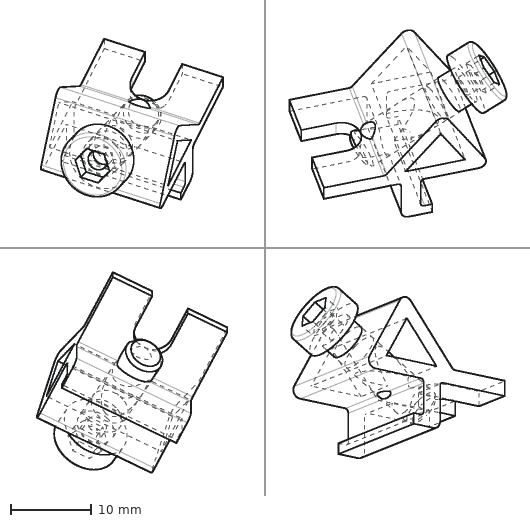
import cadquery as cq
import math


width = 16.0
plate_thickness = 2.0
bracket_length = 21.0
slot_width = 5.0
slot_depth = 7.0
hook_start = 10.01
leg_thickness = 2.5
foot_end = 14.03
foot_thickness = 1.4
hook_drop = 6.15
outer_radius = 1.0
inner_radius = 0.5
back_angle = 50
front_angle = 60
window_start = 10.58

shank_diameter = 5.0
shank_length = 16.0
tip_diameter = 4.0
head_diameter = 8.5
head_height = 3.5
head_round = 0.4
hex_across_flats = 4.0
hex_depth = 2.0
bore_diameter = 2.5
bore_depth = 2.0
seat_y = -20.6
seat_z = 6.95
screw_tilt = 90 - front_angle


def triangle_apex(back_y, front_y, base_z):
    """Apex of a triangle on a level base, with the back and front wall slopes."""
    back_slope = math.tan(math.radians(back_angle))
    front_slope = math.tan(math.radians(front_angle))
    height = (back_y - front_y) / (1 / back_slope + 1 / front_slope)
    return back_y - height / back_slope, base_z + height


def extrude_profile(points):
    """Extrude a closed (y, z) outline over the full width, centred on X = 0."""
    return cq.Workplane("YZ").polyline(points).close().extrude(width / 2, both=True)


def round_corners(body, corners, radius):
    """Round the widthwise edges that pass through the given (y, z) corners."""
    for y, z in corners:
        edge = cq.selectors.NearestToPointSelector((0, y, z))
        body = body.edges("|X").edges(edge).fillet(radius)
    return body


def make_bracket():
    front_angle_rad = math.radians(front_angle)
    wall_run_back = plate_thickness / math.sin(math.radians(back_angle))
    wall_run_front = plate_thickness / math.sin(front_angle_rad)

    nose_overhang = outer_radius / math.tan(front_angle_rad / 2) - outer_radius
    nose_y = -bracket_length - nose_overhang
    front_at_plate_top = nose_y + plate_thickness / math.tan(front_angle_rad)

    window_back = -window_start
    window_front = front_at_plate_top + wall_run_front
    wall_foot = window_back + wall_run_back
    apex = triangle_apex(wall_foot, front_at_plate_top, plate_thickness)
    window_apex = triangle_apex(window_back, window_front, plate_thickness)

    leg_back = -hook_start
    leg_front = leg_back - leg_thickness
    foot_top = foot_thickness - hook_drop

    bracket = extrude_profile([
        (0, 0),
        (0, plate_thickness),
        (wall_foot, plate_thickness),
        apex,
        (nose_y, 0),
        (leg_front, 0),
        (leg_front, foot_top),
        (-foot_end, foot_top),
        (-foot_end, -hook_drop),
        (leg_back, -hook_drop),
        (leg_back, 0),
    ])
    outer_corners = [apex, (nose_y, 0), (leg_back, -hook_drop)]
    inner_corners = [
        (wall_foot, plate_thickness),
        (leg_back, 0),
        (leg_front, 0),
        (leg_front, foot_top),
    ]
    bracket = round_corners(bracket, outer_corners, outer_radius)
    bracket = round_corners(bracket, inner_corners, inner_radius)

    window = extrude_profile([
        (window_back, plate_thickness),
        (window_front, plate_thickness),
        window_apex,
    ])
    return bracket.cut(window).cut(make_slot())


def make_slot():
    """Open slot with a round end, through the plate."""
    radius = slot_width / 2
    arc_start = radius - slot_depth
    return (
        cq.Workplane("XY")
        .moveTo(-radius, 0)
        .lineTo(-radius, arc_start)
        .threePointArc((0, -slot_depth), (radius, arc_start))
        .lineTo(radius, 0)
        .close()
        .extrude(plate_thickness)
    )


def place_on_screw_axis(body):
    """Move a body built along +Z onto the tilted screw axis, head end facing -Y."""
    turned = body.rotate((0, 0, 0), (1, 0, 0), 90 - screw_tilt)
    return turned.translate((0, seat_y, seat_z))


def make_shank():
    """Chamfered shank below the head's underside at Z = 0."""
    shank = cq.Workplane("XY").circle(shank_diameter / 2).extrude(-shank_length)
    tip_chamfer = (shank_diameter - tip_diameter) / 2
    return shank.faces("<Z").chamfer(tip_chamfer)


def make_screw():
    head = cq.Workplane("XY").circle(head_diameter / 2).extrude(head_height)
    head = head.faces(">Z").edges().fillet(head_round)

    across_corners = hex_across_flats / math.cos(math.radians(30))
    socket = (
        cq.Workplane("XY", origin=(0, 0, head_height))
        .polygon(6, across_corners)
        .extrude(-hex_depth)
    )
    bore = (
        cq.Workplane("XY", origin=(0, 0, head_height - hex_depth))
        .circle(bore_diameter / 2)
        .extrude(-bore_depth)
    )
    return head.union(make_shank()).cut(socket).cut(bore)


screw = place_on_screw_axis(make_screw())
bracket = make_bracket().cut(place_on_screw_axis(make_shank()))

result = cq.Compound.makeCompound([bracket.val(), screw.val()])